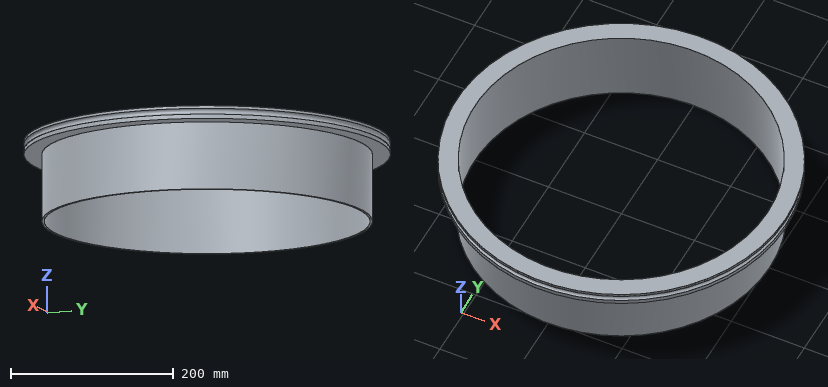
import cadquery as cq

flange_diameter = 450.0
height = 100.0
bore_diameter = 400.0
sleeve_diameter = 406.0

flange_thickness = 16.0
groove_depth = 3.0
top_lip = 3.5
groove_width = 7.0

flange_radius = flange_diameter / 2
sleeve_radius = sleeve_diameter / 2
bore_radius = bore_diameter / 2
flange_bottom = height - flange_thickness
groove_top = height - top_lip
groove_bottom = groove_top - groove_width
groove_middle = (groove_top + groove_bottom) / 2

section = (
    cq.Workplane("XZ")
    .moveTo(bore_radius, 0)
    .lineTo(sleeve_radius, 0)
    .lineTo(sleeve_radius, flange_bottom)
    .lineTo(flange_radius, flange_bottom)
    .lineTo(flange_radius, groove_bottom)
    .threePointArc((flange_radius - groove_depth, groove_middle), (flange_radius, groove_top))
    .lineTo(flange_radius, height)
    .lineTo(bore_radius, height)
    .close()
)
result = section.revolve(360, (0, 0, 0), (0, 1, 0))